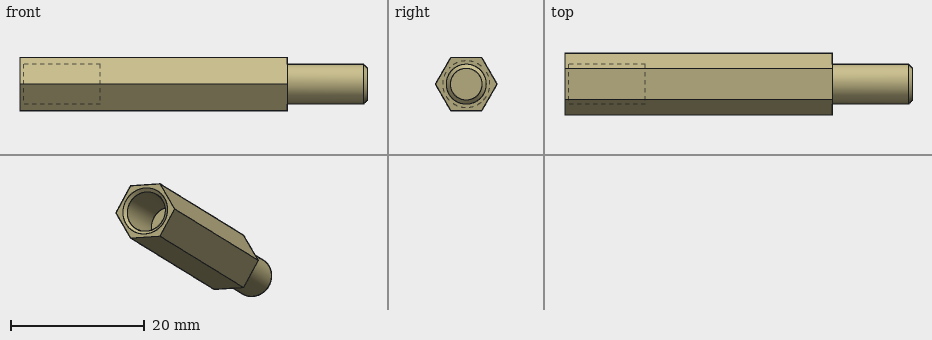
import cadquery as cq
import math

overall_length = 52.0
stud_length = 12.0
body_length = overall_length - stud_length

hex_sides = 6
across_flats = 8.0
across_corners = across_flats / math.cos(math.pi / hex_sides)

nominal_radius = 6.0 / 2
stud_chamfer = 0.6
hole_depth = 12.0
lead_in = 0.5


def hex_body():
    """Hexagonal bar with corners on the Y axis and flats facing up and down."""
    return cq.Workplane("YZ").polygon(hex_sides, across_corners).extrude(body_length)


def stud():
    """Round stud with a chamfered tip."""
    return (
        cq.Workplane("YZ", origin=(body_length, 0, 0))
        .circle(nominal_radius)
        .extrude(stud_length)
        .faces(">X")
        .chamfer(stud_chamfer)
    )


def blind_hole():
    """Flat-bottomed hole with a 45 degree lead-in, as a half profile turned about X."""
    return (
        cq.Workplane("XY")
        .moveTo(0, 0)
        .lineTo(0, nominal_radius + lead_in)
        .lineTo(lead_in, nominal_radius)
        .lineTo(hole_depth, nominal_radius)
        .lineTo(hole_depth, 0)
        .close()
        .revolve(360, (0, 0, 0), (1, 0, 0))
    )


result = hex_body().union(stud()).cut(blind_hole())